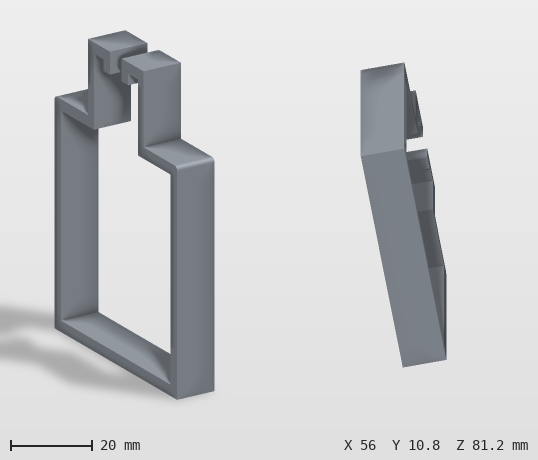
import cadquery as cq

width = 56.0
depth = 10.8
height = 81.2

wall = 3.0
neck_wall = 2.7

neck_width = 25.5
neck_height = 20.0
mouth_gap = 5.35
hook_drop = 2 * wall

corner_radius = 1.05

shoulder_top = height - neck_height
shoulder_underside = shoulder_top - wall
hook_underside = height - wall
lip_bottom = height - hook_drop
half_width = width / 2
half_inside = half_width - wall
half_neck = neck_width / 2
half_throat = half_neck - neck_wall
half_gap = mouth_gap / 2
lip_outer = half_gap + wall

right_half = [
    (0, 0),
    (half_width, 0),
    (half_width, shoulder_top),
    (half_neck, shoulder_top),
    (half_neck, height),
    (half_gap, height),
    (half_gap, lip_bottom),
    (lip_outer, lip_bottom),
    (lip_outer, hook_underside),
    (half_throat, hook_underside),
    (half_throat, shoulder_underside),
    (half_inside, shoulder_underside),
    (half_inside, wall),
    (0, wall),
]
half_clip = cq.Workplane("XZ").polyline(right_half).close().extrude(depth / 2, both=True)

half_clip = half_clip.faces(">X").edges(">Z").fillet(corner_radius)

result = half_clip.union(half_clip.mirror("YZ")).clean()